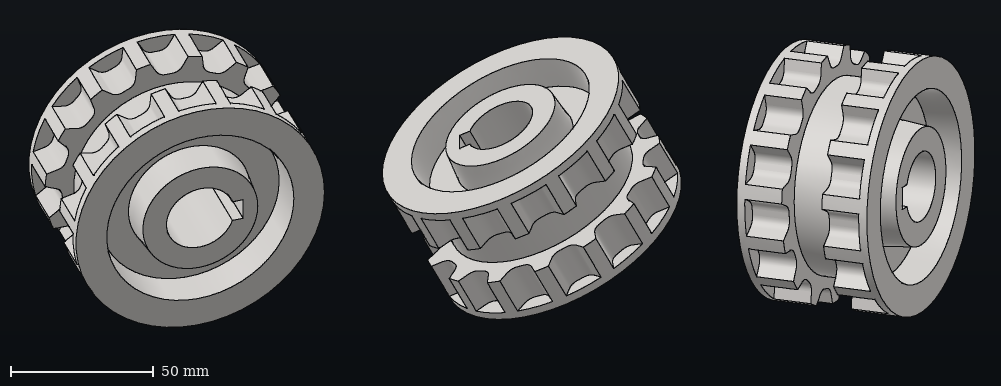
import cadquery as cq
import math

outer_radius = 46.1
width = 50.0
groove_width = 15.4
groove_radius = 35.4

bore_radius = 12.5
hub_face_radius = 21.3
hub_root_radius = 22.5
recess_floor_radius = 33.4
recess_mouth_radius = 34.7
recess_depth = 11.8
keyway_width = 8.0
keyway_reach = 15.9

tooth_count = 15
flange_thickness = 3.1
gap_floor_radius = 39.8
gap_floor_half_width = 1.245
gap_corner_radius = 4.15
flank_angle = 60.0

half_width = width / 2
half_groove = groove_width / 2
gap_length = half_width - flange_thickness - half_groove
overcut = 1.8


def make_body():
    """Revolve the half section (position along the axis, radius) about X."""
    recess_floor = half_width - recess_depth
    right_side = [
        (half_groove, groove_radius),
        (half_groove, outer_radius),
        (half_width, outer_radius),
        (half_width, recess_mouth_radius),
        (recess_floor, recess_floor_radius),
        (recess_floor, hub_root_radius),
        (half_width, hub_face_radius),
        (half_width, bore_radius),
    ]
    left_side = [(-x, radius) for x, radius in reversed(right_side)]
    section = cq.Workplane("XY").polyline(right_side + left_side).close()
    return section.revolve(360, (0, 0, 0), (1, 0, 0))


def make_keyway():
    """Slot through the full width of the bore, on its +Y side."""
    return cq.Workplane("XY").box(
        width, keyway_reach, keyway_width, centered=(True, False, True)
    )


def make_gap(start_x):
    """Tooth gap at the top: flat floor, rounded corners and sloping flanks."""

    def corner_point(angle_degrees):
        angle = math.radians(angle_degrees)
        across = gap_floor_half_width + gap_corner_radius * math.sin(angle)
        height = gap_floor_radius + gap_corner_radius * (1 - math.cos(angle))
        return across, height

    def mirrored(point):
        return -point[0], point[1]

    floor_end = corner_point(0)
    corner_middle = corner_point(flank_angle / 2)
    flank_start = corner_point(flank_angle)
    top_height = outer_radius + overcut
    flank_run = (top_height - flank_start[1]) / math.tan(math.radians(flank_angle))
    flank_end = (flank_start[0] + flank_run, top_height)

    return (
        cq.Workplane("YZ", origin=(start_x, 0, 0))
        .moveTo(*mirrored(floor_end))
        .lineTo(*floor_end)
        .threePointArc(corner_middle, flank_start)
        .lineTo(*flank_end)
        .lineTo(*mirrored(flank_end))
        .lineTo(*mirrored(flank_start))
        .threePointArc(mirrored(corner_middle), mirrored(floor_end))
        .close()
        .extrude(gap_length)
    )


result = make_body().cut(make_keyway())

for gap_start in (-half_groove - gap_length, half_groove):
    gap = make_gap(gap_start)
    for index in range(tooth_count):
        turn = index * 360 / tooth_count
        result = result.cut(gap.rotate((0, 0, 0), (1, 0, 0), turn))